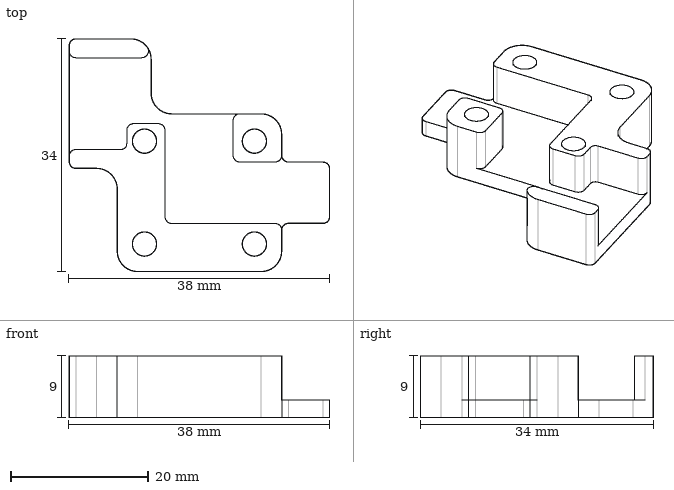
import cadquery as cq
import math

length = 38.0
width = 33.97
height = 9.0
floor_height = 2.6

body_left = 7.0
body_right = 31.0
body_back = 23.03
arm_right = 11.97
arm_front = 15.05
rail_width = 2.77

tab_front = 7.03
tab_back = 16.0

wall_inner_x = 14.0
hole_pad_left = 8.4
hole_pad_back = 21.6
post_left = 23.9

large_radius = 3.0
small_radius = 1.0
pad_root_radius = 0.85

hole_diameter = 3.5
hole_inset = 4.0
hole_front_y = 4.03
hole_pitch_y = 15.0


def toward(start, end, distance):
    """Point at a distance from start along the line to end."""
    span = math.hypot(end[0] - start[0], end[1] - start[1])
    share = distance / span
    return (start[0] + share * (end[0] - start[0]), start[1] + share * (end[1] - start[1]))


def rounded_prism(corners, prism_height):
    """Extrude a right-angled outline of (x, y, corner radius) entries."""
    arcs = []
    for index, (x, y, radius) in enumerate(corners):
        corner = (x, y)
        start = toward(corner, corners[index - 1], radius)
        end = toward(corner, corners[(index + 1) % len(corners)], radius)
        center = (start[0] + end[0] - x, start[1] + end[1] - y)
        arcs.append((start, toward(center, corner, radius), end))
    outline = cq.Workplane("XY").moveTo(*arcs[0][2])
    for start, middle, end in arcs[1:] + arcs[:1]:
        outline = outline.lineTo(*start).threePointArc(middle, end)
    return outline.close().extrude(prism_height)


def make_plan(prism_height):
    """Whole outline of the part: arm, body and tab."""
    return rounded_prism(
        [
            (0, arm_front, small_radius),
            (body_left, arm_front, large_radius),
            (body_left, 0, large_radius),
            (body_right, 0, large_radius),
            (body_right, tab_front, small_radius),
            (length, tab_front, small_radius),
            (length, tab_back, small_radius),
            (body_right, tab_back, small_radius),
            (body_right, body_back, large_radius),
            (arm_right, body_back, large_radius),
            (arm_right, width, large_radius),
            (0, width, small_radius),
        ],
        prism_height,
    )


def make_wall():
    """L-shaped wall with the front arm rail and the pad around the back left hole."""
    rail_back = arm_front + rail_width
    return rounded_prism(
        [
            (0, arm_front, small_radius),
            (body_left, arm_front, large_radius),
            (body_left, 0, large_radius),
            (body_right, 0, large_radius),
            (body_right, tab_front, small_radius),
            (wall_inner_x, tab_front, small_radius),
            (wall_inner_x, hole_pad_back, small_radius),
            (hole_pad_left, hole_pad_back, small_radius),
            (hole_pad_left, rail_back, pad_root_radius),
            (0, rail_back, small_radius),
        ],
        height,
    )


def make_back_rail():
    """Rail along the back of the arm, following the arm's rounded corners."""
    strip = cq.Workplane("XY").box(arm_right, rail_width, height, centered=False)
    strip = strip.translate((0, width - rail_width, 0))
    rail = strip.intersect(make_plan(height))
    return rail.faces("<Y").edges("|Z").fillet(small_radius)


def make_post():
    """Post around the back right hole."""
    return rounded_prism(
        [
            (post_left, tab_back, small_radius),
            (body_right, tab_back, small_radius),
            (body_right, body_back, large_radius),
            (post_left, body_back, small_radius),
        ],
        height,
    )


def make_holes():
    """Four cylinders that cut the bolt holes right through."""
    centers = [
        (x, y)
        for x in (body_left + hole_inset, body_right - hole_inset)
        for y in (hole_front_y, hole_front_y + hole_pitch_y)
    ]
    return cq.Workplane("XY").pushPoints(centers).circle(hole_diameter / 2).extrude(height)


result = make_plan(floor_height)
for raised_part in (make_wall(), make_back_rail(), make_post()):
    result = result.union(raised_part)
result = result.cut(make_holes())